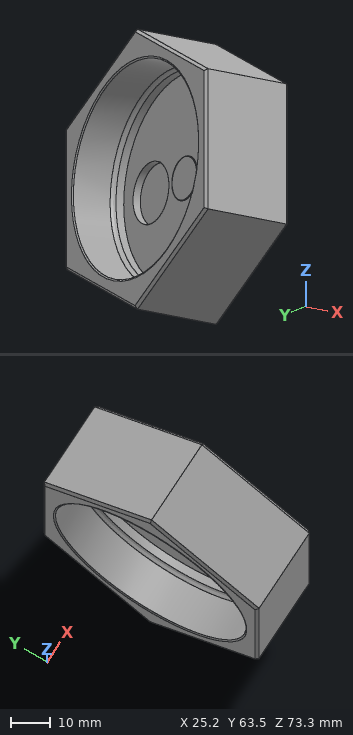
import cadquery as cq
import math

side_count = 6
corner_span = 73.3
thickness = 25.15
edge_chamfer = 0.7

mouth_radius = 28.6
bore_radius = 28.15
mouth_chamfer_depth = 0.3
cavity_depth = 15.0
taper_start = 11.4
taper_end = 12.2
taper_end_radius = 27.85
seat_depth = 12.7
seat_radius = 27.5

boss_radius = 5.7
boss_height = 0.2
boss_chamfer = 0.15

pocket_radius = 8.1
pocket_offset = 15.25
pocket_depth = 2.2

open_face_x = -thickness / 2
floor_x = open_face_x + cavity_depth


def make_body():
    """Hexagonal prism with corners on Z and chamfered end edges."""
    corner_radius = corner_span / 2
    corners = []
    for index in range(side_count):
        angle = math.radians(90 + 360 / side_count * index)
        corners.append((corner_radius * math.cos(angle), corner_radius * math.sin(angle)))
    prism = cq.Workplane("YZ", origin=(open_face_x, 0, 0)).polyline(corners).close().extrude(thickness)
    return prism.faces("<X or >X").edges().chamfer(edge_chamfer)


def make_cavity():
    """Revolved cavity: mouth chamfer, bore, taper and a narrower seat down to the floor."""
    profile = [
        (0, 0),
        (0, mouth_radius),
        (mouth_chamfer_depth, bore_radius),
        (taper_start, bore_radius),
        (taper_end, taper_end_radius),
        (seat_depth, seat_radius),
        (cavity_depth, seat_radius),
        (cavity_depth, 0),
    ]
    outline = cq.Workplane("XY").polyline(profile).close()
    return outline.revolve(360, (0, 0), (1, 0)).translate((open_face_x, 0, 0))


def make_boss():
    """Low disc standing on the cavity floor, with its rim chamfered."""
    disc = cq.Workplane("YZ", origin=(floor_x, 0, 0)).circle(boss_radius).extrude(-boss_height)
    return disc.faces("<X").edges().chamfer(boss_chamfer)


def make_pocket():
    """Flat-bottomed round pocket sunk into the cavity floor."""
    return cq.Workplane("YZ", origin=(floor_x, pocket_offset, 0)).circle(pocket_radius).extrude(pocket_depth)


result = make_body().cut(make_cavity()).cut(make_pocket()).union(make_boss())